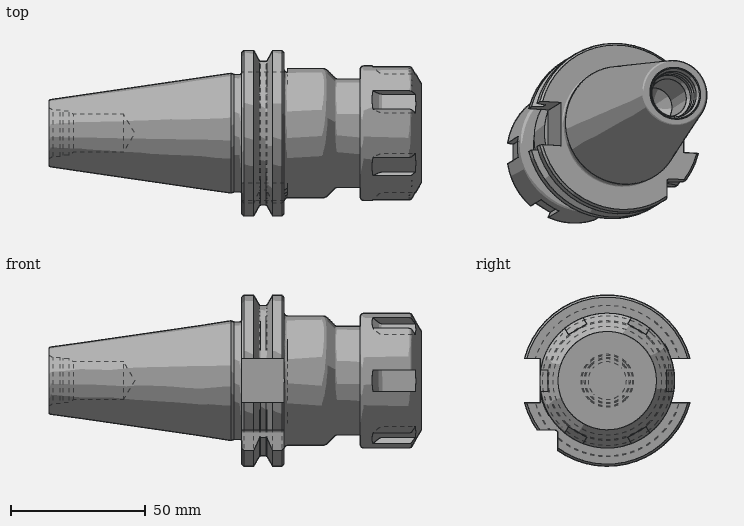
import cadquery as cq
import math


TOTAL_LENGTH = 138.2
CUT_MARGIN = 1.4

TAPER_RATIO = 7 / 24
TAPER_LENGTH = 67.5
TAPER_LARGE_RADIUS = 22.3
TAPER_SMALL_RADIUS = TAPER_LARGE_RADIUS - TAPER_LENGTH * TAPER_RATIO / 2
SMALL_END_FILLET = 0.8
RELIEF_START = 68.7
RELIEF_RADIUS = 21.8
RELIEF_FILLET = 0.7

MOUTH_RADIUS = 9.8
MOUTH_CHAMFER_RADIUS = 9.4
MOUTH_CHAMFER_DEPTH = 0.1
BORE_RADIUS = 8.6
BORE_START = 1.5
BORE_END = 4.1
RECESS_RADIUS = 8.2
RECESS_START = 5.3
RECESS_END = 7.5
THREAD_LEAD_RADIUS = 7.7
THREAD_LEAD_START = 8.2
THREAD_RADIUS = 7.0
THREAD_START = 9.1
THREAD_END = 27.6
DRILL_TIP_ANGLE = 118.0

FLANGE_START = 71.5
FLANGE_END = 87.2
FLANGE_RADIUS = 31.8
FLANGE_CHAMFER = 0.8
GROOVE_CENTER = 79.5
GROOVE_WIDTH = 7.0
GROOVE_FLOOR_RADIUS = 27.9
GROOVE_ANGLE = 60.0
GROOVE_FILLET = 0.5

DRIVE_SLOT_WIDTH = 16.3
FRONT_SLOT_FLOOR = 24.9
REAR_SLOT_FLOOR = 22.7
NOTCH_FLOOR = 18.4
NOTCH_FILLET = 1.0

BODY_RADIUS = 24.0
BODY_FLANGE_FILLET = 1.2
BODY_CONE_START = 102.6
BODY_EDGE_FILLET = 2.9
NECK_RADIUS = 20.2
NECK_FILLET = 1.1

NUT_START = 115.5
NUT_RADIUS = 25.0
NUT_BACK_FILLET = 1.4
NUT_FACE_RADIUS = 18.2
NUT_CONE_ANGLE = 60.0
NUT_EDGE_FILLET = 1.4

WRENCH_SLOT_COUNT = 6
WRENCH_SLOT_WIDTH = 7.9
WRENCH_SLOT_FLOOR = 22.0
WRENCH_SLOT_CORNER = 122.9
WRENCH_SLOT_FILLET = 2.9


def rounded_outline(corners):
    """Closed outline through (x, r, fillet radius) corners, with tangent arcs."""
    starts, middles, ends = [], [], []
    for i, (x, r, fillet) in enumerate(corners):
        corner = cq.Vector(x, r)
        before = cq.Vector(*corners[i - 1][:2])
        after = cq.Vector(*corners[(i + 1) % len(corners)][:2])
        to_before = (before - corner).normalized()
        to_after = (after - corner).normalized()
        half_angle = to_before.getAngle(to_after) / 2
        setback = fillet / math.tan(half_angle)
        to_middle = fillet / math.sin(half_angle) - fillet
        starts.append(corner + to_before * setback)
        middles.append(corner + (to_before + to_after).normalized() * to_middle)
        ends.append(corner + to_after * setback)

    outline = cq.Workplane("XY").moveTo(ends[0].x, ends[0].y)
    for i in range(1, len(corners)):
        outline = outline.lineTo(starts[i].x, starts[i].y)
        if corners[i][2] > 0:
            outline = outline.threePointArc(middles[i].toTuple()[:2], ends[i].toTuple()[:2])
    return outline.close()


def turned(corners):
    """Solid of revolution about X from (x, r, fillet radius) corners."""
    return rounded_outline(corners).revolve(360, (0, 0, 0), (1, 0, 0))


def box_between(x_range, y_range, z_range):
    """Axis-aligned box filling the given ranges."""
    (x0, x1), (y0, y1), (z0, z1) = x_range, y_range, z_range
    return cq.Workplane("XY").box(x1 - x0, y1 - y0, z1 - z0, centered=False).translate((x0, y0, z0))


def holder_blank():
    """Turned shank, flange and body in one, before milling and boring."""
    groove_depth = FLANGE_RADIUS - GROOVE_FLOOR_RADIUS
    half_mouth = GROOVE_WIDTH / 2
    half_floor = half_mouth - groove_depth * math.tan(math.radians(GROOVE_ANGLE / 2))
    chamfer_radius = FLANGE_RADIUS - FLANGE_CHAMFER
    neck_start = BODY_CONE_START + BODY_RADIUS - NECK_RADIUS
    return turned([
        (0, 0, 0),
        (0, TAPER_SMALL_RADIUS, SMALL_END_FILLET),
        (TAPER_LENGTH, TAPER_LARGE_RADIUS, 0),
        (RELIEF_START, RELIEF_RADIUS, 0),
        (FLANGE_START, RELIEF_RADIUS, RELIEF_FILLET),
        (FLANGE_START, chamfer_radius, 0),
        (FLANGE_START + FLANGE_CHAMFER, FLANGE_RADIUS, 0),
        (GROOVE_CENTER - half_mouth, FLANGE_RADIUS, 0),
        (GROOVE_CENTER - half_floor, GROOVE_FLOOR_RADIUS, GROOVE_FILLET),
        (GROOVE_CENTER + half_floor, GROOVE_FLOOR_RADIUS, GROOVE_FILLET),
        (GROOVE_CENTER + half_mouth, FLANGE_RADIUS, 0),
        (FLANGE_END - FLANGE_CHAMFER, FLANGE_RADIUS, 0),
        (FLANGE_END, chamfer_radius, 0),
        (FLANGE_END, BODY_RADIUS, BODY_FLANGE_FILLET),
        (BODY_CONE_START, BODY_RADIUS, BODY_EDGE_FILLET),
        (neck_start, NECK_RADIUS, NECK_FILLET),
        (NUT_START, NECK_RADIUS, 0),
        (NUT_START, 0, 0),
    ])


def drawbar_bore():
    """Stepped blind bore with a countersunk mouth and a drill-point bottom."""
    tip_length = THREAD_RADIUS / math.tan(math.radians(DRILL_TIP_ANGLE / 2))
    return turned([
        (0, 0, 0),
        (0, MOUTH_RADIUS, 0),
        (MOUTH_CHAMFER_DEPTH, MOUTH_CHAMFER_RADIUS, 0),
        (BORE_START, BORE_RADIUS, 0),
        (BORE_END, BORE_RADIUS, 0),
        (RECESS_START, RECESS_RADIUS, 0),
        (RECESS_END, RECESS_RADIUS, 0),
        (THREAD_LEAD_START, THREAD_LEAD_RADIUS, 0),
        (THREAD_START, THREAD_RADIUS, 0),
        (THREAD_END, THREAD_RADIUS, 0),
        (THREAD_END + tip_length, 0, 0),
    ])


def flange_cuts():
    """Drive slots on both sides and the corner notch at -Y, -Z."""
    outside = FLANGE_RADIUS + CUT_MARGIN
    along_flange = (FLANGE_START, FLANGE_END + BODY_FLANGE_FILLET)
    across_slot = (-DRIVE_SLOT_WIDTH / 2, DRIVE_SLOT_WIDTH / 2)
    front_slot = box_between(along_flange, (-outside, -FRONT_SLOT_FLOOR), across_slot)
    rear_slot = box_between(along_flange, (REAR_SLOT_FLOOR, outside), across_slot)
    notch = box_between(along_flange, (-outside, -NOTCH_FLOOR), (-outside, -NOTCH_FLOOR))
    notch = notch.edges("|X").edges(">Y and >Z").fillet(NOTCH_FILLET)
    return front_slot.union(rear_slot).union(notch)


def make_holder():
    return holder_blank().cut(drawbar_bore()).cut(flange_cuts())


def nut_blank():
    """Turned nut with a rounded back edge and a conical front."""
    cone_length = (NUT_RADIUS - NUT_FACE_RADIUS) / math.tan(math.radians(NUT_CONE_ANGLE))
    return turned([
        (NUT_START, 0, 0),
        (NUT_START, NUT_RADIUS, NUT_BACK_FILLET),
        (TOTAL_LENGTH - cone_length, NUT_RADIUS, NUT_EDGE_FILLET),
        (TOTAL_LENGTH, NUT_FACE_RADIUS, 0),
        (TOTAL_LENGTH, 0, 0),
    ])


def wrench_slot():
    """Cutter for one slot on the +Y side: flat floor with a 45 degree run-out at the back."""
    top = NUT_RADIUS + CUT_MARGIN
    front = TOTAL_LENGTH + CUT_MARGIN
    runout_start = WRENCH_SLOT_CORNER - (top - WRENCH_SLOT_FLOOR)
    profile = rounded_outline([
        (runout_start, top, 0),
        (WRENCH_SLOT_CORNER, WRENCH_SLOT_FLOOR, WRENCH_SLOT_FILLET),
        (front, WRENCH_SLOT_FLOOR, 0),
        (front, top, 0),
    ])
    return profile.extrude(WRENCH_SLOT_WIDTH / 2, both=True)


def make_nut():
    nut = nut_blank()
    for i in range(WRENCH_SLOT_COUNT):
        nut = nut.cut(wrench_slot().rotate((0, 0, 0), (1, 0, 0), i * 360 / WRENCH_SLOT_COUNT))
    return nut


holder = make_holder()
nut = make_nut()

result = cq.Compound.makeCompound([holder.solids().val(), nut.solids().val()])